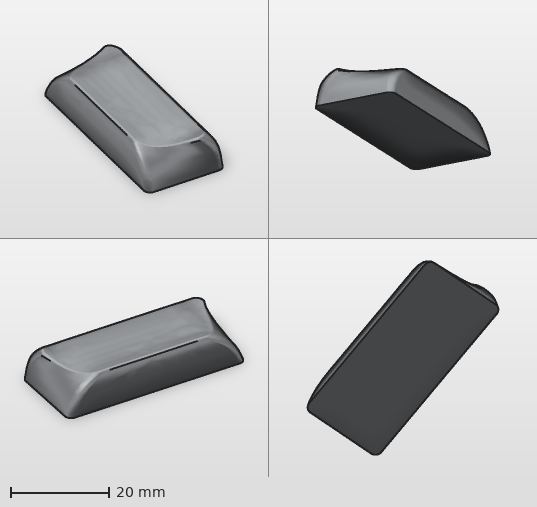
import cadquery as cq

length = 42.2
width = 18.4

shell_sections = [
    (0.0, -width / 2, width / 2, length / 2, length / 2, 1.48),
    (2.95, -9.0, 8.95, 19.75, 20.92, 1.7),
    (5.5, -8.65, 8.35, 17.4, 20.75, 1.9),
    (7.15, -8.15, 7.15, 14.55, 20.6, 1.9),
    (8.6, -6.65, 5.35, 11.8, 20.0, 1.48),
]

trough_half_length = 11.9
dish_front_y = -10.12
dish_middle_y = -0.42
dish_back_y = 9.3
trough_heights = (8.95, 7.05, 8.95)
dish_sections = [
    (3.37, *trough_heights),
    (7.6, *trough_heights),
    (trough_half_length, *trough_heights),
    (13.9, 8.65, 7.0, 8.55),
    (15.8, 8.23, 6.95, 8.15),
    (17.7, 8.5, 7.3, 8.8),
    (19.4, 8.85, 7.75, 9.55),
    (21.95, 9.7, 9.05, 10.95),
]
cutter_top = 12.65
rim_radius = 0.67
rim_lowest = 5.9


def shell_wire(height, front, back, front_half, back_half, radius):
    """Rounded trapezoid at one height, symmetric about X = 0."""
    outline = cq.Sketch().polygon(
        [
            (-front_half, front),
            (front_half, front),
            (back_half, back),
            (-back_half, back),
            (-front_half, front),
        ]
    )
    face = outline.vertices().fillet(radius)._faces.Faces()[0]
    return face.outerWire().translate(cq.Vector(0, 0, height))


def dish_wire(x, front_height, middle_height, back_height):
    """Closed YZ section with a concave arc below and a flat top."""
    return (
        cq.Workplane("YZ", origin=(x, 0, 0))
        .moveTo(dish_front_y, front_height)
        .threePointArc((dish_middle_y, middle_height), (dish_back_y, back_height))
        .lineTo(dish_back_y, cutter_top)
        .lineTo(dish_front_y, cutter_top)
        .close()
        .val()
    )


shell = cq.Workplane(cq.Solid.makeLoft([shell_wire(*s) for s in shell_sections]))

right_half = [dish_wire(*section) for section in dish_sections]
left_half = [dish_wire(-x, *heights) for x, *heights in reversed(dish_sections)]
dish = cq.Workplane(cq.Solid.makeLoft(left_half + right_half))
dished = shell.cut(dish)

dish_faces = [f for f in dished.faces().vals() if f.BoundingBox().zmin > rim_lowest]
dish_edges = [edge for face in dish_faces for edge in face.Edges()]
rim_edges = [
    edge for edge in dish_edges
    if sum(edge.isSame(other) for other in dish_edges) == 1
]
result = cq.Workplane(dished.solids().val().fillet(rim_radius, rim_edges))